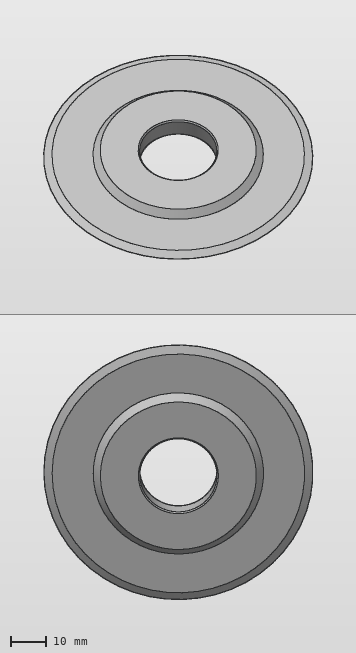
import cadquery as cq

disc_diameter = 76.71
disc_thickness = 2.1
bevel_width = 2.39
rim_land = 0.12

hub_thickness = 6.18
hub_face_diameter = 44.44
hub_height = (hub_thickness - disc_thickness) / 2
hub_base_diameter = hub_face_diameter + 2 * hub_height

bore_diameter = 22.0
bore_chamfer = 0.4


def make_disc():
    """Flat disc thinned by two rim bevels to a narrow land at mid-thickness."""
    edge_radius = disc_diameter / 2
    flat_radius = edge_radius - bevel_width
    half_thickness = disc_thickness / 2
    profile = (
        cq.Workplane("YZ")
        .moveTo(0, -half_thickness)
        .lineTo(flat_radius, -half_thickness)
        .lineTo(edge_radius, -rim_land / 2)
        .lineTo(edge_radius, rim_land / 2)
        .lineTo(flat_radius, half_thickness)
        .lineTo(0, half_thickness)
        .close()
    )
    return profile.revolve(360, (0, 0), (0, 1))


def make_hub():
    """Hub that tapers from the disc faces to its own two end faces."""
    face_radius = hub_face_diameter / 2
    base_radius = hub_base_diameter / 2
    half_disc = disc_thickness / 2
    half_hub = hub_thickness / 2
    profile = (
        cq.Workplane("YZ")
        .moveTo(0, -half_hub)
        .lineTo(face_radius, -half_hub)
        .lineTo(base_radius, -half_disc)
        .lineTo(base_radius, half_disc)
        .lineTo(face_radius, half_hub)
        .lineTo(0, half_hub)
        .close()
    )
    return profile.revolve(360, (0, 0), (0, 1))


def cut_bore(body):
    """Through bore with a chamfer at both ends."""
    bored = body.faces(">Z").workplane().hole(bore_diameter)
    bore_rims = cq.selectors.RadiusNthSelector(0)
    return bored.faces("<Z or >Z").edges(bore_rims).chamfer(bore_chamfer)


result = cut_bore(make_disc().union(make_hub()))